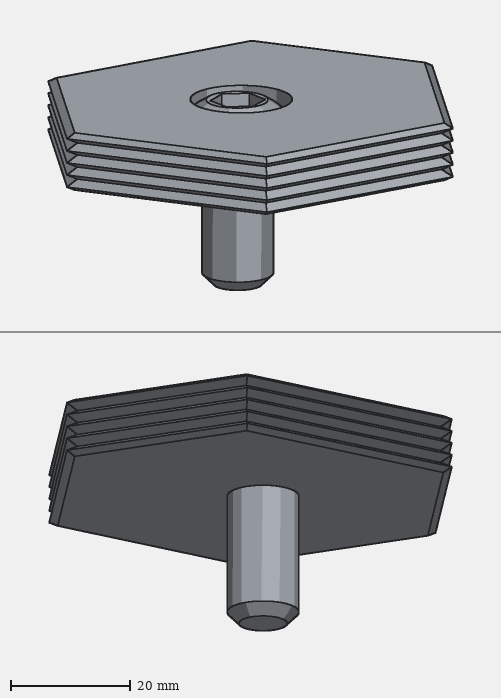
import cadquery as cq
import math


side_count = 6
nearest_side = 30.0
side_step = 1.0
nearest_side_angle = 180
plate_thickness = 10.0

ridge_count = 5
flank_angle = 30
flank_slope = math.tan(math.radians(flank_angle))
rim_inset = 1.4
rim_height = rim_inset * flank_slope
ridge_pitch = (plate_thickness - 2 * rim_height) / (ridge_count - 1)
groove_inset = ridge_pitch / 2 / flank_slope

shank_diameter = 12.05
shank_length = 25.0
shank_chamfer = 2.0
shank_below_plate = 22.4
screw_length = 32
eccentricity = 1.0
head_radius = 8.4
dome_radius = 11.7
dome_flat_radius = 5.2
dome_offset = 1.2
socket_sides = 6
socket_across_flats = 8.0
socket_depth = 4.5

screw_bottom = -shank_below_plate
screw_top = screw_bottom + screw_length
seat_height = screw_bottom + shank_length

counterbore_radius = 8.5


def hexagon_outline(inset, height):
    """Closed outline of the plate at a height, with every side moved inward by the inset."""
    corner_turn = math.radians(360 / side_count)
    corners = []
    for index in range(side_count):
        angle = math.radians(nearest_side_angle) + index * corner_turn
        distance = nearest_side + index * side_step - inset
        next_distance = nearest_side + (index + 1) % side_count * side_step - inset
        along_side = (next_distance - distance * math.cos(corner_turn)) / math.sin(corner_turn)
        x = distance * math.cos(angle) - along_side * math.sin(angle)
        y = distance * math.sin(angle) + along_side * math.cos(angle)
        corners.append(cq.Vector(x, y, height))
    return cq.Wire.makePolygon(corners, close=True)


def ridged_blank():
    """Plate without its hole: flat flanks between the ridge tips and the groove bottoms."""
    outlines = [hexagon_outline(rim_inset, 0)]
    for ridge in range(ridge_count):
        tip_height = rim_height + ridge * ridge_pitch
        if ridge > 0:
            outlines.append(hexagon_outline(groove_inset, tip_height - ridge_pitch / 2))
        outlines.append(hexagon_outline(0, tip_height))
    outlines.append(hexagon_outline(rim_inset, plate_thickness))
    return cq.Workplane(cq.Solid.makeLoft(outlines, True))


def make_plate():
    shank_hole = (
        cq.Workplane("XY")
        .center(-eccentricity, 0)
        .circle(shank_diameter / 2)
        .extrude(plate_thickness)
    )
    counterbore = (
        cq.Workplane("XY")
        .workplane(offset=seat_height)
        .circle(counterbore_radius)
        .extrude(plate_thickness - seat_height)
    )
    return ridged_blank().cut(shank_hole).cut(counterbore)


def make_head():
    """Round head whose top is a dome, cut flat at the top of the screw."""
    cylinder = (
        cq.Workplane("XY")
        .workplane(offset=seat_height)
        .circle(head_radius)
        .extrude(screw_top - seat_height)
    )
    dome_centre_height = screw_top - math.sqrt(dome_radius**2 - dome_flat_radius**2)
    dome = cq.Workplane("XY").sphere(dome_radius).translate((-dome_offset, 0, dome_centre_height))
    return cylinder.intersect(dome)


def make_screw():
    shank = (
        cq.Workplane("XY")
        .workplane(offset=screw_bottom)
        .center(-eccentricity, 0)
        .circle(shank_diameter / 2)
        .extrude(shank_length)
        .faces("<Z")
        .chamfer(shank_chamfer)
    )
    socket_across_corners = socket_across_flats / math.cos(math.pi / socket_sides)
    socket = (
        cq.Workplane("XY")
        .workplane(offset=screw_top - socket_depth)
        .center(-eccentricity, 0)
        .polygon(socket_sides, socket_across_corners)
        .extrude(socket_depth)
    )
    return shank.union(make_head()).cut(socket)


plate = make_plate()
screw = make_screw()

result = cq.Compound.makeCompound([plate.val(), screw.val()])